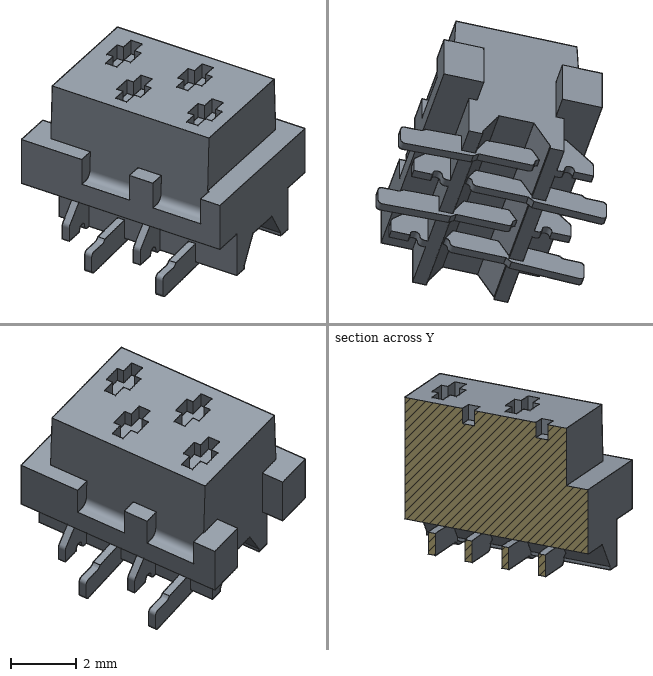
import cadquery as cq
import math

length = 7.1
body_left = 0.745
body_right = 6.355
body_top = 5.005
body_top_half_depth = 1.925
draft_angle = 2.5

flange_bottom = 1.52
flange_top = 3.125
flange_half_depth = 2.51
ear_inner_y = 1.25

base_half_depth = 1.51
channel_height = 1.01
channel_mouth_height = 0.115
channel_mouth_half_width = 1.07
channel_top_half_width = 0.555

row_centre_x = 3.59
pin_pitch = 1.27
pin_count = 4
pin_thickness = 0.255

socket_row_y = 0.75
socket_slot_width = 0.4
socket_slot_length = 1.5
socket_wing_span = 0.86
socket_wing_depth = 0.61
socket_depth = 0.5

window_width = 1.705
window_shift = 0.06
window_floor = 2.22
window_fillet = 0.25

foot_end = 3.45
foot_bottom = -0.25
foot_top = 0.52
foot_corner_radius = 0.14
foot_heel = 1.14
foot_heel_chamfer = 0.18
foot_neck = 2.67
foot_neck_height = 0.62
foot_blend_radius = 0.14
stub_end = 2.68
stub_bottom = 0.11
stub_shoulder = 0.645
stub_corner_radius = 0.18
pin_root_y = 1.065
relief_start = 0.67
relief_pitch = 0.95
relief_count = 2
relief_height = 0.31
relief_flare = 0.15
relief_radius = 0.15

draft_slope = math.tan(math.radians(draft_angle))


def block(x_start, x_end, y_start, y_end, z_start, z_end):
    size = (x_end - x_start, y_end - y_start, z_end - z_start)
    return cq.Workplane("XY").box(*size, centered=False).translate((x_start, y_start, z_start))


def body_half_depth(z):
    return body_top_half_depth + (body_top - z) * draft_slope


def tapered_body():
    bottom_half = body_half_depth(flange_bottom)
    outline = [
        (-bottom_half, flange_bottom),
        (bottom_half, flange_bottom),
        (body_top_half_depth, body_top),
        (-body_top_half_depth, body_top),
    ]
    body = cq.Workplane("YZ").polyline(outline).close().extrude(body_right - body_left)
    return body.translate((body_left, 0, 0))


def flange():
    ring = block(0, length, -flange_half_depth, flange_half_depth, flange_bottom, flange_top)
    return ring.cut(block(0, body_left, -ear_inner_y, ear_inner_y, flange_bottom, flange_top))


def base():
    legs = block(body_left, length, -base_half_depth, base_half_depth, 0, flange_bottom)
    outline = [
        (-channel_mouth_half_width, 0),
        (channel_mouth_half_width, 0),
        (channel_mouth_half_width, channel_mouth_height),
        (channel_top_half_width, channel_height),
        (-channel_top_half_width, channel_height),
        (-channel_mouth_half_width, channel_mouth_height),
    ]
    return legs.cut(cq.Workplane("YZ").polyline(outline).close().extrude(length))


def socket(x, y):
    slot = cq.Workplane("XY").rect(socket_slot_width, socket_slot_length).extrude(socket_depth)
    wings = cq.Workplane("XY").rect(socket_wing_span, socket_wing_depth).extrude(socket_depth)
    return slot.union(wings).translate((x, y, body_top - socket_depth))


def window(x):
    """Window in the rear side; its rounded inner corner meets the drafted wall of the body."""
    outline = [
        (flange_half_depth, window_floor),
        (body_half_depth(window_floor), window_floor),
        (body_half_depth(flange_top), flange_top),
        (flange_half_depth, flange_top),
    ]
    opening = cq.Workplane("YZ").polyline(outline).close().extrude(window_width / 2, both=True)
    inner_corner = cq.selectors.NearestToPointSelector((0, body_half_depth(window_floor), window_floor))
    return opening.edges("|X").edges(inner_corner).fillet(window_fillet).translate((x, 0, 0))


def relief(start):
    """Rounded notch in the underside of a pin, flared on the side facing the pin centre."""
    side = start + relief_flare
    centre = side + relief_radius
    far_side = centre + relief_radius
    spring = relief_height - relief_radius
    flare_middle_y = start + relief_flare * math.sin(math.pi / 4)
    flare_middle_z = relief_flare * (1 - math.cos(math.pi / 4))
    return (
        cq.Workplane("YZ")
        .moveTo(-start, 0)
        .threePointArc((-flare_middle_y, flare_middle_z), (-side, relief_flare))
        .lineTo(-side, spring)
        .threePointArc((-centre, relief_height), (-far_side, spring))
        .lineTo(-far_side, 0)
        .close()
        .extrude(pin_thickness / 2, both=True)
    )


def corner(solid, y, z, radius):
    edge = cq.selectors.NearestToPointSelector((0, y, z))
    return solid.edges("|X").edges(edge).fillet(radius)


def pin():
    """Pin with its foot towards +Y and its stub towards -Y."""
    heel_bottom = foot_bottom + (foot_end - foot_heel) * draft_slope
    neck_low = foot_neck + foot_neck_height - foot_top
    middle_top = foot_neck_height + foot_neck * draft_slope
    stub_root = stub_end - (flange_bottom - stub_shoulder)
    relief_end = relief_start + (relief_count - 1) * relief_pitch + relief_flare + 2 * relief_radius
    outline = [
        (foot_end, foot_bottom),
        (foot_end, foot_top),
        (neck_low, foot_top),
        (foot_neck, foot_neck_height),
        (0, middle_top),
        (-pin_root_y, middle_top),
        (-pin_root_y, flange_bottom),
        (-stub_root, flange_bottom),
        (-stub_end, stub_shoulder),
        (-stub_end, stub_bottom),
        (-relief_end, stub_bottom),
        (-relief_end, 0),
        (foot_heel - foot_heel_chamfer, 0),
        (foot_heel, heel_bottom),
    ]
    plate = cq.Workplane("YZ").polyline(outline).close().extrude(pin_thickness / 2, both=True)
    plate = corner(plate, foot_end, foot_bottom, foot_corner_radius)
    plate = corner(plate, foot_end, foot_top, foot_corner_radius)
    plate = corner(plate, neck_low, foot_top, foot_blend_radius)
    plate = corner(plate, -stub_end, stub_shoulder, stub_corner_radius)
    for notch in range(relief_count):
        plate = plate.cut(relief(relief_start + notch * relief_pitch))
    return plate


result = tapered_body().union(flange()).union(base())

pin_shape = pin()
for index in range(pin_count):
    x = row_centre_x + (index - (pin_count - 1) / 2) * pin_pitch
    side = 1 if index % 2 == 0 else -1
    opening = window(x - side * window_shift)
    contact = pin_shape.translate((x, 0, 0))
    if side < 0:
        opening = opening.mirror("XZ")
        contact = contact.mirror("XZ")
    result = result.cut(opening).cut(socket(x, side * socket_row_y)).union(contact)